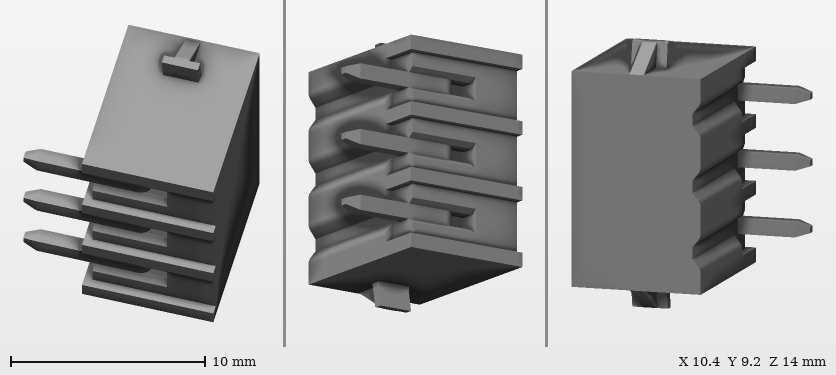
import cadquery as cq
import math


pin_count = 3
pitch = 3.5

body_x = 7.0
body_y = 9.2
rib_height = 0.72
end_wall = 0.77
bay_height = pitch - rib_height
body_z = pin_count * pitch - rib_height + 2 * end_wall
pin_levels = [end_wall + bay_height / 2 + i * pitch for i in range(pin_count)]

front_recess = 0.48
side_recess = 0.43
side_recess_end = 2.28

groove_floor_width = 0.66
groove_mouth_width = 1.74
groove_mouth_radius = 0.5

pin_size = 0.81
pin_y = 1.215
pin_front = pin_y - pin_size / 2
pin_back = pin_y + pin_size / 2
pin_reach = 3.4
taper_length = 0.77
tip_y = 0.41
tip_z = 0.34
leg_outer_x = 3.39
bend_radius = 0.62

slot_end_x = 4.41
slot_mouth_width = 1.3

latch_height = (14.0 - body_z) / 2
latch_width = 1.92
latch_front_y = 6.57
latch_thickness = 0.52
latch_lean_start = 0.18
latch_lean = math.radians(9.7)
latch_top_y = 6.71
gusset_width = 0.77
gusset_foot_y = 9.1
gusset_top_y = 6.95


def box(x0, x1, y0, y1, z0, z1):
    """Axis-aligned block between opposite corners."""
    return cq.Workplane("XY").box(x1 - x0, y1 - y0, z1 - z0, centered=False).translate((x0, y0, z0))


def bay_cut(level):
    """Recesses in the front and the -X side of one bay."""
    bottom = level - bay_height / 2
    top = level + bay_height / 2
    front = box(0, body_x, 0, front_recess, bottom, top)
    side = box(0, side_recess, 0, side_recess_end, bottom, top)
    return front.union(side)


def groove_cut(level):
    """Trapezoidal groove whose mouth edges are rounded over tangentially."""
    floor = groove_floor_width / 2
    mouth = groove_mouth_width / 2
    angle = math.atan2(side_recess, mouth - floor)
    tangent = groove_mouth_radius * math.tan(angle / 2)
    arc_end = mouth + tangent
    slope_end_x = tangent * math.sin(angle)
    slope_end_z = mouth - tangent * math.cos(angle)
    arc_mid_x = groove_mouth_radius * (1 - math.cos(angle / 2))
    arc_mid_z = arc_end - groove_mouth_radius * math.sin(angle / 2)
    profile = (
        cq.Workplane("XZ")
        .moveTo(0, -arc_end)
        .threePointArc((arc_mid_x, -arc_mid_z), (slope_end_x, -slope_end_z))
        .lineTo(side_recess, -floor)
        .lineTo(side_recess, floor)
        .lineTo(slope_end_x, slope_end_z)
        .threePointArc((arc_mid_x, arc_mid_z), (0, arc_end))
        .close()
    )
    return profile.extrude(-body_y).translate((0, 0, level))


def slot_cut(level):
    """Pin slot: flared mouth, straight channel and the hole for the pin leg."""
    mouth = slot_mouth_width / 2
    half = pin_size / 2
    slot = (
        cq.Workplane("YZ")
        .moveTo(front_recess, -mouth)
        .lineTo(pin_front, -half)
        .lineTo(pin_back, -half)
        .lineTo(pin_back, half)
        .lineTo(pin_front, half)
        .lineTo(front_recess, mouth)
        .close()
        .extrude(slot_end_x)
        .translate((0, 0, level))
    )
    leg_hole = box(leg_outer_x - pin_size, leg_outer_x, pin_back, body_y, level - half, level + half)
    return slot.union(leg_hole)


def make_latch():
    """Leaning latch plate with a gusset behind it, standing on the top face."""
    run = math.tan(latch_lean)
    tip_front_y = latch_front_y - (latch_height - latch_lean_start) * run
    base_back_y = latch_front_y + latch_thickness
    bevel_y = (base_back_y - (latch_height - latch_top_y * run) * run) / (1 + run * run)
    bevel_z = latch_height - (bevel_y - latch_top_y) * run
    gusset_top_z = latch_height - (gusset_top_y - latch_top_y) * run
    plate = (
        cq.Workplane("YZ")
        .polyline([
            (latch_front_y, 0),
            (latch_front_y, latch_lean_start),
            (tip_front_y, latch_height),
            (latch_top_y, latch_height),
            (bevel_y, bevel_z),
            (base_back_y, 0),
        ])
        .close()
        .extrude(latch_width / 2, both=True)
    )
    gusset = (
        cq.Workplane("YZ")
        .polyline([
            (latch_front_y, 0),
            (latch_top_y, latch_height),
            (gusset_top_y, gusset_top_z),
            (gusset_foot_y, 0),
        ])
        .close()
        .extrude(gusset_width / 2, both=True)
    )
    return plate.union(gusset).translate((body_x / 2, 0, body_z))


def make_housing():
    """Block with bays, grooves and pin slots, and a latch on either end."""
    body = box(0, body_x, 0, body_y, 0, body_z)
    for level in pin_levels:
        body = body.cut(bay_cut(level)).cut(groove_cut(level)).cut(slot_cut(level))
    top_latch = make_latch()
    bottom_latch = top_latch.mirror("XY", (0, 0, body_z / 2))
    return body.union(top_latch).union(bottom_latch)


def make_pin(level):
    """Square pin: tapered tip, straight run along X, bend and leg along +Y."""
    half = pin_size / 2
    shoulder_x = taper_length - pin_reach
    arm = box(shoulder_x, leg_outer_x, pin_front, pin_back, -half, half)
    leg = box(leg_outer_x - pin_size, leg_outer_x, pin_front, body_y, -half, half)
    bent = arm.union(leg).edges(cq.selectors.NearestToPointSelector((leg_outer_x, pin_front, 0)))
    bent = bent.fillet(bend_radius)
    tip = (
        cq.Workplane("YZ", origin=(-pin_reach, pin_y, 0))
        .rect(tip_y, tip_z)
        .workplane(offset=taper_length)
        .rect(pin_size, pin_size)
        .loft(ruled=True)
    )
    return bent.union(tip).translate((0, 0, level))


housing = make_housing()
pins = [make_pin(level) for level in pin_levels]

result = cq.Compound.makeCompound([housing.val(), *[pin.val() for pin in pins]])